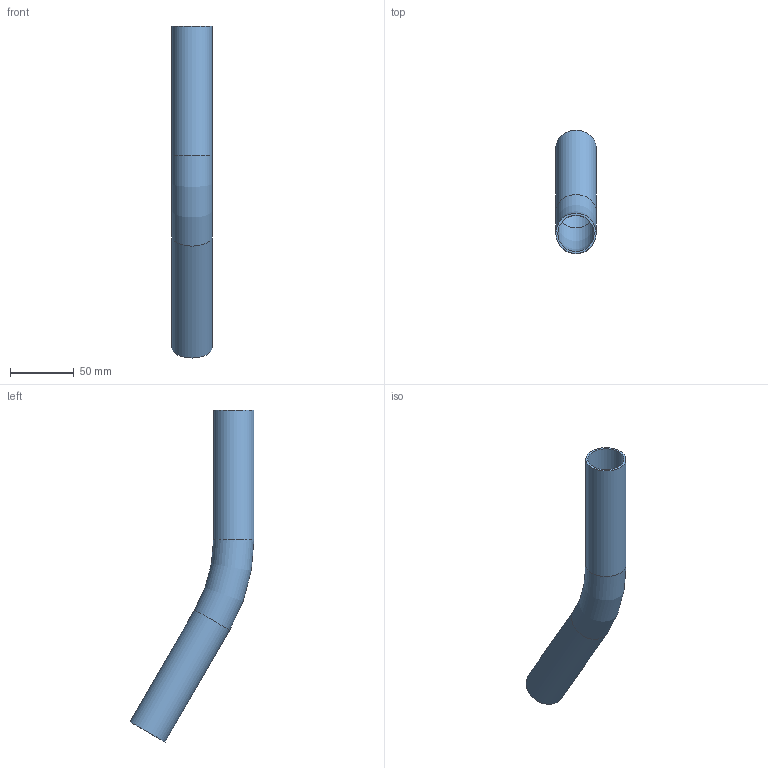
import cadquery as cq
import math

outer_diameter = 31.75
inner_diameter = 28.55
leg_length = 101.6
bend_radius = 4 * outer_diameter
bend_angle = math.radians(30)


def bend_point(angle):
    """Centreline point (y, z) after turning by angle; the bend starts at the origin."""
    return (
        bend_radius * (1 - math.cos(angle)),
        -bend_radius * math.sin(angle),
    )


def centreline():
    """Down the vertical leg, round the bend towards +Y, and along the slanted leg."""
    bend_end_y, bend_end_z = bend_point(bend_angle)
    leg_end = (
        bend_end_y + leg_length * math.sin(bend_angle),
        bend_end_z - leg_length * math.cos(bend_angle),
    )
    return (
        cq.Workplane("YZ")
        .moveTo(0, leg_length)
        .lineTo(0, 0)
        .threePointArc(bend_point(bend_angle / 2), (bend_end_y, bend_end_z))
        .lineTo(*leg_end)
    )


def tube():
    """Ring section at the top of the vertical leg, swept along the centreline."""
    section = (
        cq.Workplane("XY", origin=(0, 0, leg_length))
        .circle(outer_diameter / 2)
        .circle(inner_diameter / 2)
    )
    return section.sweep(centreline())


result = tube()